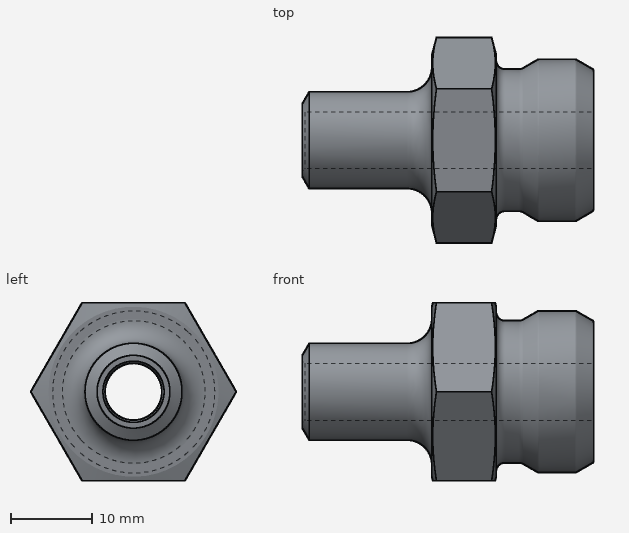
import cadquery as cq
import math

total_length = 36.0
fillet_start = 13.0
hex_start = 16.0
hex_width = 8.0
neck_end = 26.8
collar_end = 33.75

tube_diameter = 12.0
bore_diameter = 7.0
bore_mouth_chamfer = 0.3
tube_tip_diameter = 9.0
neck_diameter = 17.6
collar_diameter = 20.0
hex_across_flats = 22.0
hex_face_diameter = 21.0
neck_fillet = 1.0
edge_round = 0.4

tip_angle = 30.0
hex_chamfer_angle = 15.0
collar_angle = 30.0

tube_radius = tube_diameter / 2
tip_radius = tube_tip_diameter / 2
neck_radius = neck_diameter / 2
collar_radius = collar_diameter / 2
hex_end = hex_start + hex_width
neck_start = hex_end + neck_fillet


def revolve_about_x(profile):
    """Revolve a closed (x, radius) profile about the X axis."""
    return profile.close().revolve(360, (0, 0, 0), (1, 0, 0))


def turned_body():
    """Tube, shoulder fillet, relief groove and collar as one revolved solid."""
    shoulder_fillet = hex_start - fillet_start
    tip_length = (tube_radius - tip_radius) * math.tan(math.radians(tip_angle))
    collar_slope = math.tan(math.radians(collar_angle))
    blend_end = neck_end + neck_fillet * math.sin(math.radians(collar_angle))
    blend_radius = neck_radius + neck_fillet * (1 - math.cos(math.radians(collar_angle)))
    collar_start = blend_end + (collar_radius - blend_radius) / collar_slope
    end_radius = collar_radius - (total_length - collar_end) * collar_slope
    profile = (
        cq.Workplane("XY")
        .lineTo(0, tip_radius)
        .lineTo(tip_length, tube_radius)
        .lineTo(fillet_start, tube_radius)
        .radiusArc((hex_start, tube_radius + shoulder_fillet), -shoulder_fillet)
        .lineTo(hex_end, tube_radius + shoulder_fillet)
        .lineTo(hex_end, neck_radius + neck_fillet)
        .radiusArc((neck_start, neck_radius), -neck_fillet)
        .lineTo(neck_end, neck_radius)
        .radiusArc((blend_end, blend_radius), -neck_fillet)
        .lineTo(collar_start, collar_radius)
        .lineTo(collar_end, collar_radius)
        .lineTo(total_length, end_radius)
        .lineTo(total_length, 0)
    )
    body = revolve_about_x(profile)
    collar_edges = body.edges(
        cq.selectors.BoxSelector(
            (collar_start - edge_round, -collar_diameter, -collar_diameter),
            (total_length + edge_round, collar_diameter, collar_diameter),
        )
    ).edges("%CIRCLE")
    return collar_edges.fillet(edge_round)


def hexagon():
    """Hexagon with corners on Y, both faces chamfered by a cone about X."""
    corner_diameter = hex_across_flats / math.cos(math.pi / 6)
    face_radius = hex_face_diameter / 2
    corner_radius = corner_diameter / 2
    chamfer_length = (corner_radius - face_radius) * math.tan(math.radians(hex_chamfer_angle))
    prism = (
        cq.Workplane("YZ")
        .workplane(offset=hex_start)
        .polygon(6, corner_diameter)
        .extrude(hex_width)
    )
    envelope = revolve_about_x(
        cq.Workplane("XY")
        .moveTo(hex_start, 0)
        .lineTo(hex_start, face_radius)
        .lineTo(hex_start + chamfer_length, corner_radius)
        .lineTo(hex_end - chamfer_length, corner_radius)
        .lineTo(hex_end, face_radius)
        .lineTo(hex_end, 0)
    )
    return prism.intersect(envelope)


def bore():
    """Through bore with a small chamfer at the tube end."""
    bore_radius = bore_diameter / 2
    return revolve_about_x(
        cq.Workplane("XY")
        .lineTo(0, bore_radius + bore_mouth_chamfer)
        .lineTo(bore_mouth_chamfer, bore_radius)
        .lineTo(total_length, bore_radius)
        .lineTo(total_length, 0)
    )


result = turned_body().union(hexagon()).cut(bore())